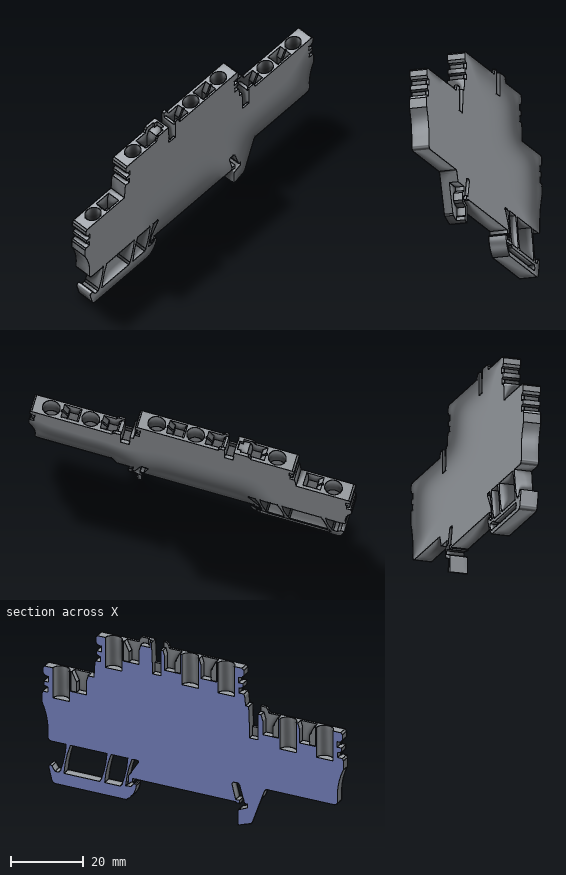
import cadquery as cq
width = 5.1
length = 92.6
height = 50.5
side_wall = 0.8
far_wall = 0.6

half_length = length / 2
near_x = -width / 2
pocket_near_x = near_x + side_wall
pocket_far_x = width / 2 - far_wall

lower_top = 35.7
deck_step = 13.1
upper_top = lower_top + deck_step
belly = 12.9
rail_seat = 6.9
upper_centre = -7.0
upper_half = 23.1
upper_left = upper_centre + upper_half
upper_right = upper_centre - upper_half
flank_taper = 0.3

combs = [
    (half_length, lower_top, 1),
    (upper_left, upper_top, 1),
    (upper_right, upper_top, -1),
    (-half_length, lower_top, -1),
]
comb_grooves = [(1.7, 3.15, 4.7), (1.5, 6.4, 7.9)]
undercut = 0.3

slot_depth = 6.85
slot_floor_width = 2.5
slot_draft = 0.3
lip_rise = height - upper_top
lower_slot = 20.0
upper_slot = -9.8
lower_lip_length = 2.5
upper_lip_length = 1.85
far_lip_length = 4.8
lip_opening_length = 1.85
slot_well_depth = 2.8
slot_well_near_x = -1.6

funnel_length = 4.9
funnel_width = 4.2
funnel_depth = 9.3
pocket_start = 3.2
pocket_length = 5.0
pocket_depth = 6.0
ramp_run = 1.5
ramp_depth = 3.0
pocket_chamfer_run = 0.6
pocket_chamfer_depth = 1.85
key_width = 0.5
key_overrun = 0.3

clamps = [
    (40.6, lower_top, -1),
    (29.3, lower_top, -1),
    (10.3, upper_top, -1),
    (-0.8, upper_top, -1),
    (-24.3, upper_top, 1),
    (-40.4, lower_top, 1),
]

relief_floor = upper_top
relief_half_width = 1.2
relief_start = -13.15
relief_step = -14.2
relief_end = -16.7

foot_deck = 3.9
leg_tops = (-18.6, -25.0, -37.5)
leg_top_width = 1.4
leg_waist_width = 0.7
leg_lean = 1.9
leg_foot_width = 1.7
leg_neck_width = 1.2
leg_fillet = 0.65
foot_recess_depth = 1.85
latch_recess_depth = width / 2


def plate(outline, start_x, depth):
    """Move a closed YZ outline to start_x and extrude it along +X."""
    return outline.close().extrude(depth).translate((start_x, 0, 0))


def sketch(y, z):
    return cq.Workplane("YZ").moveTo(y, z)


def block(x_range, y_range, z_range):
    """Box between pairs of limits."""
    sizes = [abs(b - a) for a, b in (x_range, y_range, z_range)]
    middles = [(a + b) / 2 for a, b in (x_range, y_range, z_range)]
    return cq.Workplane("XY").box(*sizes).translate(tuple(middles))


def comb(tip, top, side):
    """Grooved end face from the deck down; side is +1 for a +Y end, -1 for a -Y end."""
    first_depth, first_upper, first_lower = comb_grooves[0]
    second_depth, second_upper, second_lower = comb_grooves[1]
    profile = [
        (0.8, 0.0), (0.3, 0.6), (0.3, 2.2), (0.8, 3.0),
        (first_depth, first_upper), (first_depth, first_lower),
        (0.6, first_lower), (0.6, 6.0),
        (second_depth, second_upper), (second_depth, second_lower),
        (0.3, second_lower), (0.0, 8.6),
    ]
    return [(tip - side * inset, top - drop) for inset, drop in profile]


def groove_undercut(tip, top, side, groove):
    """Extra depth of one comb groove, everywhere except at the -X wall."""
    depth, upper, lower = groove
    return block((pocket_near_x, width / 2),
                 (tip - side * depth, tip - side * (depth + undercut)),
                 (top - lower, top - upper))


def slot(y, top):
    """Points of a tapered marker slot, walked from its +Y edge to its -Y edge."""
    floor = top - slot_depth
    far = y - slot_floor_width
    return [(y, top), (y, floor), (far, floor), (far - slot_draft, top)]


def lip(start, deck, side):
    """Points of a raised lip climbing from the deck at start; side is the climbing direction along Y."""
    return [(start, deck), (start + side * 0.3, deck + 0.9), (start + side * 0.9, deck + lip_rise)]


def make_body():
    """Stepped housing with both wings, marker slots, rail latch and hook."""
    cheek_top = 24.4
    cheek_low = 14.35
    cheek_inset = 1.8
    cheek_middle = (half_length - 1.4, 20.2)
    corner = 1.1
    corner_middle = (half_length - cheek_inset - 0.4, belly + 0.4)
    far_edge = upper_slot - slot_floor_width - slot_draft
    outline = sketch(half_length - cheek_inset - corner, belly)
    outline = outline.threePointArc(corner_middle, (half_length - cheek_inset, cheek_low))
    outline = outline.threePointArc(cheek_middle, (half_length, cheek_top))
    top_edge = comb(*combs[0])[::-1]
    top_edge += lip(lower_slot + lower_lip_length, lower_top, -0.9)
    top_edge += slot(lower_slot, lower_top + lip_rise)
    top_edge += [(upper_left + flank_taper, lower_top + lip_rise)]
    top_edge += comb(*combs[1])[::-1]
    top_edge += lip(upper_slot + upper_lip_length, upper_top, -0.9)
    top_edge += slot(upper_slot, height)
    top_edge += lip(far_edge - far_lip_length, upper_top, 0.9)[::-1]
    top_edge += comb(*combs[2])
    top_edge += [(upper_right - flank_taper, lower_top)]
    top_edge += comb(*combs[3])
    top_edge += [(-half_length, cheek_top)]
    for point in top_edge:
        outline = outline.lineTo(*point)
    outline = outline.threePointArc((-cheek_middle[0], cheek_middle[1]), (-half_length + cheek_inset, cheek_low))
    outline = outline.threePointArc((-corner_middle[0], corner_middle[1]),
                                    (-half_length + cheek_inset + corner, belly))
    hook = [(-16.85, belly), (-16.7, 12.5), (-19.7, 7.7), (-19.7, 6.3), (-20.0, 5.6), (-19.6, 5.0),
            (-18.9, 5.8), (-18.3, 5.9), (-18.3, rail_seat)]
    seat_lug = [(13.2, rail_seat), (13.2, 6.7), (14.4, 6.7), (14.4, 7.8), (13.2, 7.8)]
    for point in hook + seat_lug:
        outline = outline.lineTo(*point)
    outline = outline.lineTo(12.1, 12.1).threePointArc((12.3, 12.7), (12.7, belly))
    outline = outline.lineTo(13.7, belly).threePointArc((14.2, 12.6), (14.4, 11.9))
    latch = [(15.8, 7.1), (16.7, 6.9), (16.7, 5.9), (16.2, 5.7), (14.4, 5.0)]
    for point in latch:
        outline = outline.lineTo(*point)
    outline = outline.threePointArc((14.0, 4.7), (13.9, 4.3))
    for point in [(13.9, 0.0), (14.3, 0.0), (18.0, 1.3), (18.3, 1.8), (21.9, 11.9)]:
        outline = outline.lineTo(*point)
    outline = outline.threePointArc((22.2, 12.5), (22.7, belly))
    return plate(outline, near_x, width)


def make_foot():
    """Rail foot with its cup, toe and the recess in its -X face."""
    outline = sketch(-18.3, 5.2).lineTo(-19.0, 4.4).lineTo(-20.4, 4.4).lineTo(-21.3, foot_deck)
    outline = outline.lineTo(-42.2, foot_deck).lineTo(-43.15, 5.4)
    outline = outline.threePointArc((-43.9, 5.5), (-44.3, 4.8)).lineTo(-43.4, 1.4)
    outline = outline.threePointArc((-43.1, 0.5), (-42.2, 0)).lineTo(-20.4, 0)
    outline = outline.threePointArc((-18.4, 1.85), (-17.2, 5.2)).lineTo(-17.5, 5.6).lineTo(-18.1, 5.6)
    recess = sketch(-18.9, 3.4).lineTo(-21.6, 3.4).lineTo(-22.3, 2.9).lineTo(-39.9, 2.9)
    recess = recess.threePointArc((-40.4, 2.0), (-39.9, 1.2)).lineTo(-20.0, 1.2)
    recess = recess.threePointArc((-19.3, 1.9), (-18.9, 2.8))
    return plate(outline, near_x, width).cut(plate(recess, near_x, foot_recess_depth))


def make_leg(top):
    """Slanted leg from the belly to the foot, waisted by an arc on each side."""
    waist_z = (belly + foot_deck) / 2
    waist = top - 1.3
    base = top - leg_lean
    outline = sketch(top, belly).threePointArc((waist, waist_z), (base, foot_deck))
    outline = outline.lineTo(base - leg_foot_width, foot_deck)
    outline = outline.lineTo(base - leg_neck_width, foot_deck + leg_fillet)
    outline = outline.threePointArc((waist - leg_waist_width, waist_z), (top - leg_top_width, belly))
    return plate(outline, near_x, width)


def latch_recess():
    """Step in the -X face of the latch, leaving a rib along its rail edge."""
    outline = sketch(23.15, 9.8)
    for point in [(16.4, 9.8), (16.4, 8.6), (17.8, 7.7), (17.8, 5.6), (17.0, 4.9), (15.0, 4.3),
                  (15.0, 1.85), (15.6, 1.5), (15.6, -0.9), (23.15, -0.9)]:
        outline = outline.lineTo(*point)
    return plate(outline, near_x, latch_recess_depth)


def clamp_cavity(axis, deck, side):
    """Oval wire funnel, and the ramped release pocket beside it."""
    funnel = cq.Workplane("XY").ellipse(funnel_width / 2, funnel_length / 2).extrude(-funnel_depth)
    funnel = funnel.translate((0, axis, deck))

    ramp_top = axis + side * pocket_start
    ramp_foot = ramp_top + side * ramp_run
    end = ramp_top + side * pocket_length
    floor = deck - pocket_depth
    clear = deck + 2 * lip_rise
    outline = sketch(ramp_top, clear)
    for point in [(ramp_top, deck), (ramp_foot, deck - ramp_depth), (ramp_foot, floor),
                  (end - side * pocket_chamfer_run, floor),
                  (end - side * pocket_chamfer_run, deck - pocket_chamfer_depth), (end, deck), (end, clear)]:
        outline = outline.lineTo(*point)
    pocket = plate(outline, pocket_near_x, pocket_far_x - pocket_near_x)
    middle = (pocket_near_x + pocket_far_x) / 2
    key = block((middle - key_width / 2, middle + key_width / 2),
                   (ramp_top - side * key_overrun, ramp_foot), (floor, clear))
    return funnel.union(pocket).union(key)


def slot_well(y, top):
    """Rectangular well sunk into a marker slot's floor."""
    floor = top - slot_depth
    return block((slot_well_near_x, pocket_far_x), (y, y - slot_floor_width),
                 (floor - slot_well_depth, floor))


def lip_opening(slot_y, deck):
    """Passage at deck level through the lip on the +Y side of a slot, leaving its two side walls."""
    return block((pocket_near_x, pocket_far_x), (slot_y - slot_draft, slot_y + lip_opening_length),
                 (deck, deck + 2 * lip_rise))


def lip_relief():
    """Stepped relief in the far lip, running into the pocket beside it."""
    narrow = block((-relief_half_width, relief_half_width), (relief_step, relief_start), (relief_floor, height))
    wide = block((pocket_near_x, pocket_far_x), (relief_end, relief_step), (relief_floor, height))
    return narrow.union(wide)


result = make_body().union(make_foot())
for leg_top in leg_tops:
    result = result.union(make_leg(leg_top))
result = result.cut(latch_recess())
for comb_end in combs:
    for comb_groove in comb_grooves:
        result = result.cut(groove_undercut(*comb_end, comb_groove))
for clamp in clamps:
    result = result.cut(clamp_cavity(*clamp))
result = result.cut(slot_well(lower_slot, lower_top + lip_rise))
result = result.cut(slot_well(upper_slot, height))
result = result.cut(lip_opening(lower_slot, lower_top))
result = result.cut(lip_opening(upper_slot, upper_top))
result = result.cut(lip_relief())